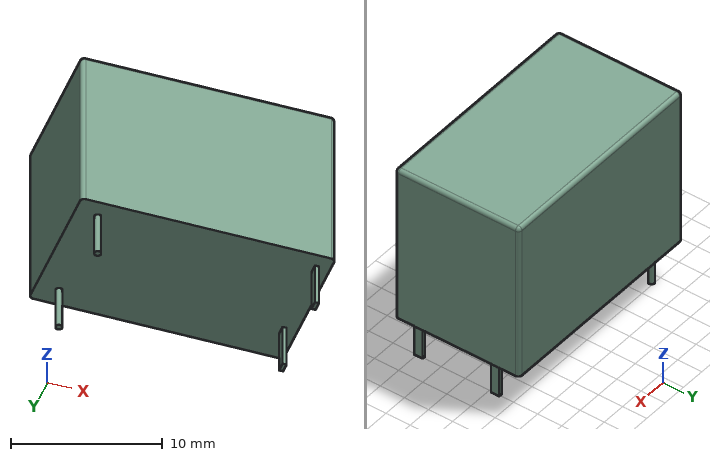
import cadquery as cq

case_length = 17.8
case_width = 10.3
case_height = 12.8
edge_radius = 0.3

pin_length = 3.3
round_pin_diameter = 0.46
flat_pin_thickness = 0.28
flat_pin_width = 0.7

pin_row_spacing = 15.24
round_row_x = -7.28
flat_row_x = round_row_x + pin_row_spacing
outer_pin_y = 3.81
inner_pin_y = 2.55
round_pin_places = [(round_row_x, -outer_pin_y), (round_row_x, outer_pin_y)]
flat_pin_places = [(flat_row_x, -outer_pin_y), (flat_row_x, inner_pin_y)]


def make_case():
    """Block with rounded upright and top edges and a sharp bottom rim."""
    block = cq.Workplane("XY").box(case_length, case_width, case_height, centered=(True, True, False))
    return block.edges("|Z or >Z").fillet(edge_radius)


def make_round_pins():
    pins = cq.Workplane("XY").pushPoints(round_pin_places).circle(round_pin_diameter / 2)
    return pins.extrude(-pin_length)


def make_flat_pins():
    pins = cq.Workplane("XY").pushPoints(flat_pin_places).rect(flat_pin_thickness, flat_pin_width)
    return pins.extrude(-pin_length)


result = make_case().union(make_round_pins()).union(make_flat_pins())